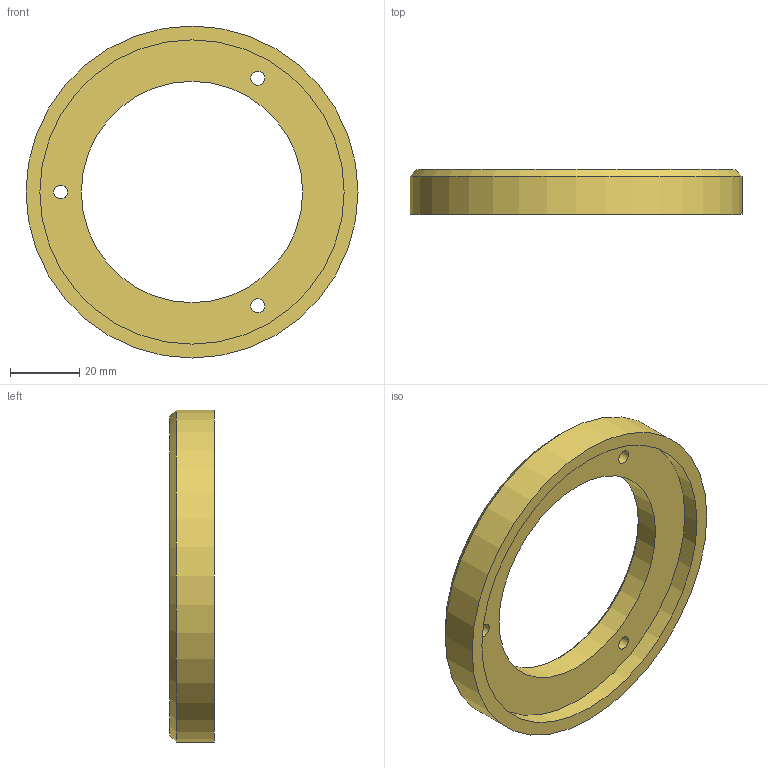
import cadquery as cq

outer_diameter = 96.0
thickness = 13.0
bore_diameter = 64.0
recess_diameter = 88.0
recess_depth = 5.0
rim_chamfer = 2.0
bore_chamfer = 1.0
hole_diameter = 4.0
hole_circle_radius = 38.0
hole_count = 3
first_hole_angle = 180.0


def ring_body():
    """Revolve the half section (radius, Y) of the recessed, chamfered ring about Y."""
    outer_radius = outer_diameter / 2
    bore_radius = bore_diameter / 2
    recess_radius = recess_diameter / 2
    section = [
        (bore_radius, recess_depth),
        (recess_radius, recess_depth),
        (recess_radius, 0),
        (outer_radius, 0),
        (outer_radius, thickness - rim_chamfer),
        (outer_radius - rim_chamfer, thickness),
        (bore_radius + bore_chamfer, thickness),
        (bore_radius, thickness - bore_chamfer),
    ]
    return cq.Workplane("XY").polyline(section).close().revolve(360, (0, 0, 0), (0, 1, 0))


def mounting_holes():
    """Through-hole cutters, evenly spaced on the hole circle with the first one at -X."""
    return (
        cq.Workplane("XZ", origin=(0, thickness, 0))
        .polarArray(hole_circle_radius, first_hole_angle, 360, hole_count)
        .circle(hole_diameter / 2)
        .extrude(thickness)
    )


result = ring_body().cut(mounting_holes())